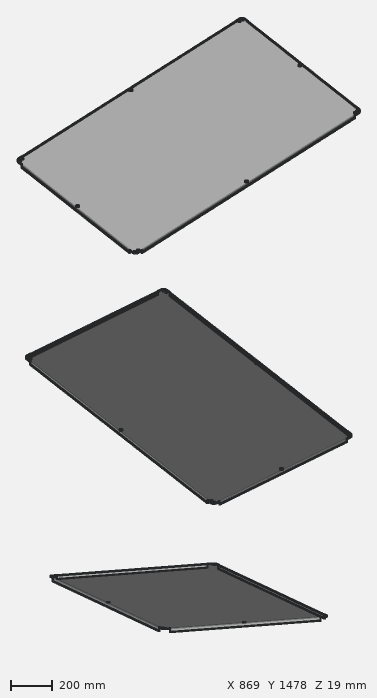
import cadquery as cq

width = 869.0
length = 1478
height = 19.0
sheet = 2.0
corner_radius = 20.0

bend_radius = 3.0
end_flange_inset = 40.0
side_flange_inset = 45.0
end_flange_run = width - 2 * end_flange_inset
side_flange_run = length - 2 * side_flange_inset

mount_diameter = 12.7
mount_inset = 13.0
pilot_diameter = 8.0
pilot_side_inset = mount_inset
pilot_end_inset = 31.0


def make_plate():
    """Flat top sheet with rounded corners, cut back where the flanges bend down."""
    plate = cq.Workplane("XY").box(width, length, sheet, centered=(True, True, False))
    plate = plate.edges("|Z").fillet(corner_radius).translate((0, 0, height - sheet))
    side_strip = cq.Workplane("XY").box(2 * bend_radius, side_flange_run, 4 * height)
    end_strip = cq.Workplane("XY").box(end_flange_run, 2 * bend_radius, 4 * height)
    for side in (-1, 1):
        plate = plate.cut(side_strip.translate((side * width / 2, 0, 0)))
        plate = plate.cut(end_strip.translate((0, side * length / 2, 0)))
    return plate


def make_round_top_block(span, run, top, radius):
    """Block along Y from Z = 0 up to top, with its two upper long edges rounded."""
    block = cq.Workplane("XY").box(span, run, top, centered=(True, True, False))
    return block.edges("|Y and >Z").fillet(radius)


def make_channel(span, run):
    """Sheet folded down along both sides, running along Y."""
    outer = make_round_top_block(span, run, height, bend_radius)
    inner = make_round_top_block(span - 2 * sheet, run, height - sheet, bend_radius - sheet)
    return outer.cut(inner)


def make_holes(points, diameter):
    """Vertical cutters that pass through the top sheet."""
    return cq.Workplane("XY").pushPoints(points).circle(diameter / 2).extrude(2 * height)


side_flanges = make_channel(width, side_flange_run)
end_flanges = make_channel(length, end_flange_run).rotate((0, 0, 0), (0, 0, 1), 90)
body = make_plate().union(side_flanges).union(end_flanges)

mount_x = width / 2 - mount_inset
mount_y = length / 2 - mount_inset
mount_points = [
    (x, y) for x in (-mount_x, 0, mount_x) for y in (-mount_y, 0, mount_y) if (x, y) != (0, 0)
]
body = body.cut(make_holes(mount_points, mount_diameter))

pilot_x = width / 2 - pilot_side_inset
pilot_y = length / 2 - pilot_end_inset
pilot_points = [(x, y) for x in (-pilot_x, pilot_x) for y in (-pilot_y, pilot_y)]
result = body.cut(make_holes(pilot_points, pilot_diameter))